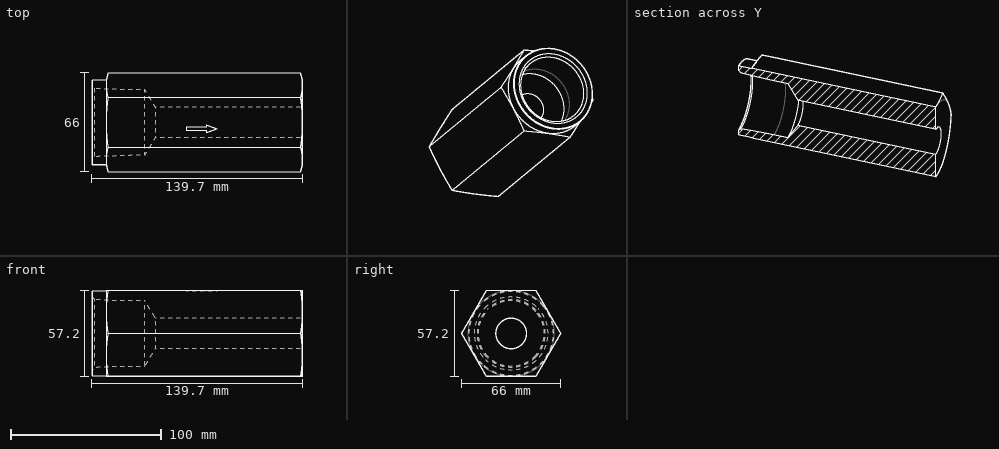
import cadquery as cq
import math

total_length = 139.7
across_flats = 57.15
across_corners = across_flats / math.cos(math.radians(30))

collar_length = 9.525
collar_diameter = 56.64
collar_chamfer = 0.4

corner_trim_angle = 15.0
envelope_margin = 1.0

port_mouth_diameter = 48.8
port_end_diameter = 43.66
port_chamfer_depth = 1.8
taper_end_depth = 25.4
port_taper = 1 / 16
port_depth = 35.0
port_floor_angle = 118.0
through_diameter = 20.22

arrow_start = 62.8
arrow_shaft_length = 13.3
arrow_head_length = 6.8
arrow_shaft_width = 2.3
arrow_head_width = 5.0
arrow_center_y = -4.3
arrow_depth = 0.25


def revolve_about_x(points):
    """Revolve a closed (x, radius) outline about the X axis."""
    return cq.Workplane("XY").polyline(points).close().revolve(360, (0, 0, 0), (1, 0, 0))


def make_hexagon():
    """Hexagonal bar with two edges in the XY plane and all corners trimmed at both ends."""
    length = total_length - collar_length
    bar = (
        cq.Workplane("YZ")
        .workplane(offset=collar_length)
        .polygon(6, across_corners)
        .extrude(length)
    )
    trim_radius = across_flats / 2
    outer_radius = across_corners / 2 + envelope_margin
    trim_length = (outer_radius - trim_radius) * math.tan(math.radians(corner_trim_angle))
    envelope = revolve_about_x(
        [
            (collar_length, 0),
            (collar_length, trim_radius),
            (collar_length + trim_length, outer_radius),
            (total_length - trim_length, outer_radius),
            (total_length, trim_radius),
            (total_length, 0),
        ]
    )
    return bar.intersect(envelope)


def make_collar():
    """Round collar with a small chamfer on its outer edge."""
    return (
        cq.Workplane("YZ")
        .circle(collar_diameter / 2)
        .extrude(collar_length)
        .faces("<X")
        .chamfer(collar_chamfer)
    )


def make_bore():
    """Chamfered port, tapered and then straight, that narrows through a cone to the through hole."""
    taper_length = taper_end_depth - port_chamfer_depth
    port_start_diameter = port_end_diameter + port_taper * taper_length
    floor_drop = (port_end_diameter - through_diameter) / 2
    floor_length = floor_drop / math.tan(math.radians(port_floor_angle / 2))
    return revolve_about_x(
        [
            (0, 0),
            (0, port_mouth_diameter / 2),
            (port_chamfer_depth, port_start_diameter / 2),
            (taper_end_depth, port_end_diameter / 2),
            (port_depth, port_end_diameter / 2),
            (port_depth + floor_length, through_diameter / 2),
            (total_length, through_diameter / 2),
            (total_length, 0),
        ]
    )


def make_arrow():
    """Flow arrow pointing along +X, sunk into the top flat."""
    head_start = arrow_start + arrow_shaft_length
    half_shaft = arrow_shaft_width / 2
    half_head = arrow_head_width / 2
    return (
        cq.Workplane("XY")
        .workplane(offset=across_flats / 2 - arrow_depth)
        .center(0, arrow_center_y)
        .polyline(
            [
                (arrow_start, -half_shaft),
                (head_start, -half_shaft),
                (head_start, -half_head),
                (head_start + arrow_head_length, 0),
                (head_start, half_head),
                (head_start, half_shaft),
                (arrow_start, half_shaft),
            ]
        )
        .close()
        .extrude(arrow_depth)
    )


result = make_hexagon().union(make_collar()).cut(make_bore()).cut(make_arrow())